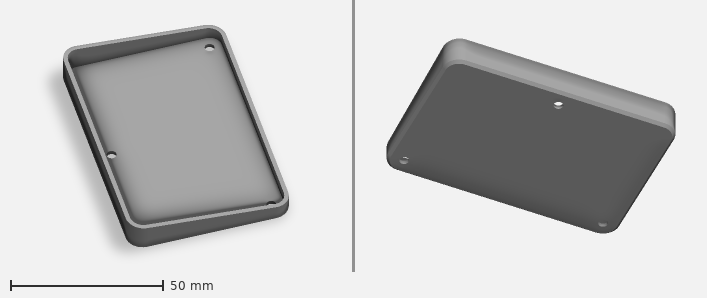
import cadquery as cq
import math

length = 82.97
width = 55.59
front_height = 10.76
rim_slope = 5.0

corner_radius = 5.75
wall = 1.5
floor_thickness = 1.5
bottom_chamfer = 1.0

hole_diameter = 3.2
hole_inset = corner_radius

back_height = front_height - width * math.tan(math.radians(rim_slope))


def rounded_block(size_x, size_y, radius, bottom, top):
    """Upright block with rounded vertical edges, centred on the Z axis."""
    return (
        cq.Workplane("XY")
        .workplane(offset=bottom)
        .rect(size_x, size_y)
        .extrude(top - bottom)
        .edges("|Z")
        .fillet(radius)
    )


def sloped_envelope():
    """Wedge whose sloping top face is the plane of the rim."""
    half_width = width / 2
    return (
        cq.Workplane("YZ")
        .moveTo(-half_width, 0)
        .lineTo(half_width, 0)
        .lineTo(half_width, back_height)
        .lineTo(-half_width, front_height)
        .close()
        .extrude(length / 2, both=True)
    )


def outer_body():
    """Solid tray blank: chamfered underneath and sloping on top."""
    block = rounded_block(length, width, corner_radius, 0, front_height)
    block = block.faces("<Z").edges().chamfer(bottom_chamfer)
    return block.intersect(sloped_envelope())


def cavity():
    """Inside of the tray, leaving an even wall and a flat floor."""
    return rounded_block(
        length - 2 * wall,
        width - 2 * wall,
        corner_radius - wall,
        floor_thickness,
        front_height,
    )


def screw_holes():
    """Through holes in the two +Y corners and midway along the -Y side."""
    side_x = length / 2 - hole_inset
    side_y = width / 2 - hole_inset
    centres = [(-side_x, side_y), (side_x, side_y), (0, -side_y)]
    return (
        cq.Workplane("XY")
        .pushPoints(centres)
        .circle(hole_diameter / 2)
        .extrude(floor_thickness)
    )


result = outer_body().cut(cavity()).cut(screw_holes())